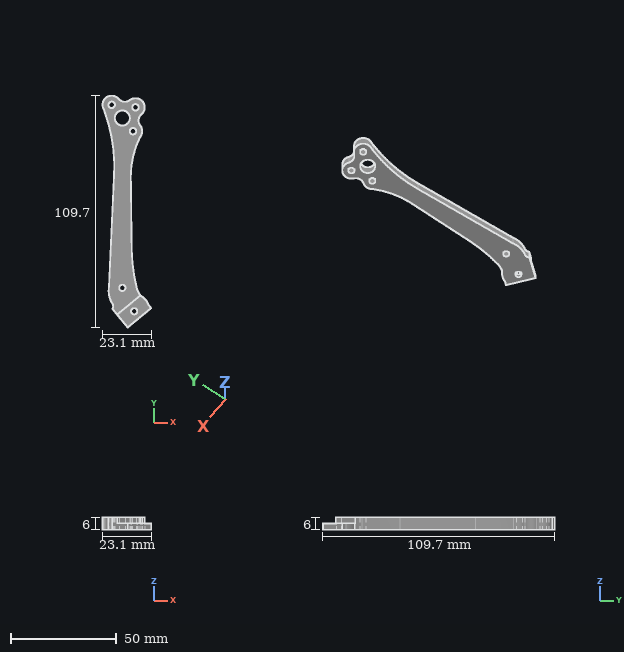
import cadquery as cq
import math

LENGTH = 109.7
THICKNESS = 6.0
TONGUE_THICKNESS = 3.1

SHAFT_HOLE_D = 7.0
MOUNT_HOLE_D = 3.0
MOUNT_CIRCLE_R = 8.0
MOUNT_ANGLE = 39.0
LOBE_R = 4.4
LEFT_DEPARTURE = 213.0
RIGHT_DEPARTURE = -40.0
NECK_DEPTH_R = 7.8

TAIL_HOLE_D = 2.9
TAIL_HOLES = [(0.0, -80.3), (5.6, -91.4)]
TAIL_ANGLE = 39.5
TAIL_WIDTH = 14.5
TAIL_SIDE = 11.4
TONGUE_LENGTH = 7.9
TAIL_CORNER_X = 2.5
CUT_MARGIN = 4.4

RIGHT_UPPER_CURVE = [(5.4, -17.2), (4.1, -27.1)]
RIGHT_LOWER_CURVE_START = (4.5, -62.8)
RIGHT_LOWER_CURVE = [(5.3, -72.1), (6.9, -80.7)]
RIGHT_FLARE = [(7.7, -82.5), (8.7, -84.1)]
TONGUE_ROUND = [(11.2, -86.1), (12.4, -88.3)]
LEFT_NOTCH = [(-4.4, -89.0), (-5.0, -87.4)]
LEFT_LOWER_CURVE_START = (-5.4, -86.7)
LEFT_LOWER_CURVE = [(-6.3, -84.3), (-6.4, -79.6)]
LEFT_UPPER_CURVE_START = (-4.0, -26.2)
LEFT_UPPER_CURVE = [(-5.8, -5.9), (-8.3, 2.6)]


def polar(radius, angle, center=(0.0, 0.0)):
    """Point at a radius and an angle in degrees about a center."""
    a = math.radians(angle)
    return (center[0] + radius * math.cos(a), center[1] + radius * math.sin(a))


left_lobe = polar(MOUNT_CIRCLE_R, MOUNT_ANGLE + 90)
middle_lobe = polar(MOUNT_CIRCLE_R, MOUNT_ANGLE)
right_lobe = polar(MOUNT_CIRCLE_R, MOUNT_ANGLE - 90)

half_spacing = MOUNT_CIRCLE_R * math.sin(math.radians(45))
neck_offset = NECK_DEPTH_R - half_spacing
neck_r = (neck_offset**2 + half_spacing**2 - LOBE_R**2) / (2 * (LOBE_R - neck_offset))
neck_turn = math.degrees(math.atan2(NECK_DEPTH_R + neck_r - half_spacing, half_spacing))

tail_corner = (TAIL_CORNER_X, left_lobe[1] + LOBE_R - LENGTH)
tail_tip = polar(TAIL_WIDTH, TAIL_ANGLE, tail_corner)
tail_shoulder = polar(TAIL_SIDE, TAIL_ANGLE + 90, tail_corner)


def neck_start(lobe, neck_angle):
    """Point where a lobe meets the neck that follows it clockwise."""
    return polar(LOBE_R, neck_angle - 90 + neck_turn, lobe)


def neck_end(lobe, neck_angle):
    """Point where a neck meets the lobe that follows it clockwise."""
    return polar(LOBE_R, neck_angle + 90 - neck_turn, lobe)


def arm_outline():
    """Closed outline of the whole arm, seen along Z."""
    first_neck = MOUNT_ANGLE + 45
    second_neck = MOUNT_ANGLE - 45

    return (
        cq.Workplane("XY")
        .moveTo(*polar(LOBE_R, LEFT_DEPARTURE, left_lobe))
        .threePointArc(polar(LOBE_R, MOUNT_ANGLE + 90, left_lobe), neck_start(left_lobe, first_neck))
        .threePointArc(polar(NECK_DEPTH_R, first_neck), neck_end(middle_lobe, first_neck))
        .threePointArc(polar(LOBE_R, MOUNT_ANGLE, middle_lobe), neck_start(middle_lobe, second_neck))
        .threePointArc(polar(NECK_DEPTH_R, second_neck), neck_end(right_lobe, second_neck))
        .threePointArc(polar(LOBE_R, 0, right_lobe), polar(LOBE_R, RIGHT_DEPARTURE, right_lobe))
        .threePointArc(*RIGHT_UPPER_CURVE)
        .lineTo(*RIGHT_LOWER_CURVE_START)
        .threePointArc(*RIGHT_LOWER_CURVE)
        .threePointArc(*RIGHT_FLARE)
        .threePointArc(*TONGUE_ROUND)
        .lineTo(*tail_tip)
        .lineTo(*tail_corner)
        .lineTo(*tail_shoulder)
        .threePointArc(*LEFT_NOTCH)
        .lineTo(*LEFT_LOWER_CURVE_START)
        .threePointArc(*LEFT_LOWER_CURVE)
        .lineTo(*LEFT_UPPER_CURVE_START)
        .threePointArc(*LEFT_UPPER_CURVE)
        .close()
    )


def tongue_cut():
    """Block above the tongue, with its step parallel to the tail end."""
    tail_plane = cq.Plane(
        origin=(*tail_corner, TONGUE_THICKNESS),
        xDir=(*polar(1, TAIL_ANGLE), 0),
        normal=(0, 0, 1),
    )
    return (
        cq.Workplane(tail_plane)
        .rect(2 * (TAIL_WIDTH + CUT_MARGIN), 2 * TONGUE_LENGTH)
        .extrude(THICKNESS)
    )


def drill(points, diameter):
    """Full-depth cylinders to cut as holes."""
    return cq.Workplane("XY").pushPoints(points).circle(diameter / 2).extrude(THICKNESS)


result = (
    arm_outline()
    .extrude(THICKNESS)
    .cut(tongue_cut())
    .cut(drill([(0, 0)], SHAFT_HOLE_D))
    .cut(drill([left_lobe, middle_lobe, right_lobe], MOUNT_HOLE_D))
    .cut(drill(TAIL_HOLES, TAIL_HOLE_D))
)